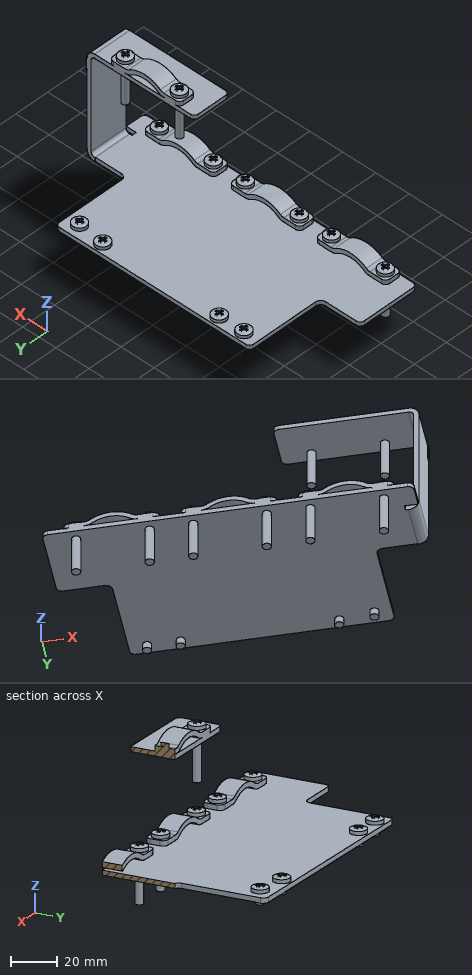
import cadquery as cq
import math

sheet = 2.5
bend_inner_radius = 2.2
bend_outer_radius = bend_inner_radius + sheet
corner_radius = 2.5
shoulder_fillet = 3.0
overlap = 0.01

base_length = 164.2
base_depth = 80.0
shoulder_y = 35.6
rear_left_x = 24.0
rear_right_x = 141.0

strap_front_y = 14.0
strap_width = 22.0
strap_rear_y = strap_front_y + strap_width
strap_rise = 59.5
strap_top_z = strap_rise + sheet
strap_end_x = 99.5
relief_width = 2.5
relief_depth = 6.0
tab_rear_y = strap_front_y - relief_width

mark_height = 0.5
mark_width = 2.5
mark_length = 7.0
mark_drop = 4.9
mark_top_z = strap_top_z - mark_drop

screw_pitch = 32.5
clip_width = 10.0
clip_length = screw_pitch + clip_width
arch_rise = 3.75
arch_foot = 11.75
arch_bend_radius = 3.75
clip_count = 3
clip_spacing = 51.8
first_clip_x = 30.5
base_clip_y = clip_width / 2
strap_clip_x = 129.6
strap_clip_y = strap_rear_y - clip_width / 2

shank_diameter = 4.0
head_diameter = 8.0
head_rim_height = 1.8
head_height = 3.0
long_screw = 25.0
short_screw = 6.0
recess_span = 4.0
recess_arm = 1.2
recess_depth = 1.0
recess_pit_size = 1.0
recess_pit_depth = 1.8
rear_screws = [(32.3, 75.0), (47.2, 75.0), (117.3, 75.0), (133.2, 73.0)]


def base_plate():
    """Stepped flat plate with a relief notch beside the strap bend."""
    flat_end_x = base_length - bend_outer_radius
    notch_x = base_length - relief_depth
    outline = [
        (0, 0),
        (base_length, 0),
        (base_length, tab_rear_y),
        (notch_x, tab_rear_y),
        (notch_x, strap_front_y),
        (flat_end_x, strap_front_y),
        (flat_end_x, shoulder_y),
        (rear_right_x, shoulder_y),
        (rear_right_x, base_depth),
        (rear_left_x, base_depth),
        (rear_left_x, shoulder_y),
        (0, shoulder_y),
    ]
    plate = cq.Workplane("XY").polyline(outline).close().extrude(sheet)
    outer_corners = [
        (0, 0),
        (base_length, 0),
        (rear_right_x, base_depth),
        (rear_left_x, base_depth),
        (0, shoulder_y),
    ]
    inner_corners = [(rear_left_x, shoulder_y), (rear_right_x, shoulder_y)]
    plate = round_corners(plate, outer_corners, corner_radius)
    return round_corners(plate, inner_corners, shoulder_fillet)


def round_corners(body, corners, radius):
    """Fillet the vertical edges standing at the given plate corners."""
    for x, y in corners:
        edge = cq.selectors.NearestToPointSelector((x, y, sheet / 2))
        body = body.edges("|Z").edges(edge).fillet(radius)
    return body


def strap():
    """C-shaped strap: lower bend, upright wall, upper bend and top flange."""
    wall_inner_x = base_length - sheet
    bend_x = base_length - bend_outer_radius
    diagonal = math.sqrt(0.5)
    outer_reach = bend_outer_radius * diagonal
    inner_reach = bend_inner_radius * diagonal
    low_z = bend_outer_radius
    high_z = strap_top_z - bend_outer_radius
    profile = (
        cq.Workplane("XZ", origin=(0, strap_rear_y, 0))
        .moveTo(bend_x - overlap, 0)
        .lineTo(bend_x, 0)
        .threePointArc((bend_x + outer_reach, low_z - outer_reach), (base_length, low_z))
        .lineTo(base_length, high_z)
        .threePointArc((bend_x + outer_reach, high_z + outer_reach), (bend_x, strap_top_z))
        .lineTo(strap_end_x, strap_top_z)
        .lineTo(strap_end_x, strap_top_z - sheet)
        .lineTo(bend_x, strap_top_z - sheet)
        .threePointArc((bend_x + inner_reach, high_z + inner_reach), (wall_inner_x, high_z))
        .lineTo(wall_inner_x, low_z)
        .threePointArc((bend_x + inner_reach, low_z - inner_reach), (bend_x, sheet))
        .lineTo(bend_x - overlap, sheet)
        .close()
    )
    body = profile.extrude(strap_width)
    return body.faces("<X").edges("|Z").fillet(corner_radius)


def strap_mark():
    """Small raised bar on the outer face of the strap, at its rear edge."""
    corner = (base_length - overlap, strap_rear_y - mark_width, mark_top_z - mark_length)
    size = (mark_height + overlap, mark_width, mark_length)
    return cq.Workplane("XY", origin=corner).box(*size, centered=False)


def clip(x, y, z):
    """Strip of constant thickness arched between two flat feet, centred at (x, y) on height z."""
    crown_to_bend = (arch_foot**2 + arch_rise**2) / (2 * arch_rise)
    crown_radius = crown_to_bend - arch_bend_radius - sheet
    crown_z = arch_rise - crown_radius
    bend_z = sheet + arch_bend_radius
    tilt = math.asin(arch_foot / crown_to_bend)

    def on_crown(radius, angle):
        return (radius * math.sin(angle), crown_z + radius * math.cos(angle))

    def on_bend(radius, angle, side):
        return (side * (arch_foot - radius * math.sin(angle)), bend_z - radius * math.cos(angle))

    outer_crown = crown_radius + sheet
    under_bend = arch_bend_radius + sheet
    half_length = clip_length / 2
    body = (
        cq.Workplane("XZ", origin=(x, y + clip_width / 2, z))
        .moveTo(-half_length, sheet)
        .lineTo(-arch_foot, sheet)
        .threePointArc(on_bend(arch_bend_radius, tilt / 2, -1), on_crown(outer_crown, -tilt))
        .threePointArc(on_crown(outer_crown, 0), on_crown(outer_crown, tilt))
        .threePointArc(on_bend(arch_bend_radius, tilt / 2, 1), (arch_foot, sheet))
        .lineTo(half_length, sheet)
        .lineTo(half_length, 0)
        .lineTo(arch_foot, 0)
        .threePointArc(on_bend(under_bend, tilt / 2, 1), on_crown(crown_radius, tilt))
        .threePointArc(on_crown(crown_radius, 0), on_crown(crown_radius, -tilt))
        .threePointArc(on_bend(under_bend, tilt / 2, -1), (-arch_foot, 0))
        .lineTo(-half_length, 0)
        .close()
        .extrude(clip_width)
    )
    return body.edges("|Z").fillet(corner_radius)


def screw(x, y, seat_z, length):
    """Pan head screw whose head rests on height seat_z."""
    head_radius = head_diameter / 2
    shank_radius = shank_diameter / 2
    dome_rise = head_height - head_rim_height
    dome_radius = (head_radius**2 + dome_rise**2) / (2 * dome_rise)
    dome_angle = math.asin(head_radius / dome_radius) / 2
    dome_middle = (
        dome_radius * math.sin(dome_angle),
        head_height - dome_radius * (1 - math.cos(dome_angle)),
    )
    body = (
        cq.Workplane("XZ")
        .moveTo(0, -length)
        .lineTo(shank_radius, -length)
        .lineTo(shank_radius, 0)
        .lineTo(head_radius, 0)
        .lineTo(head_radius, head_rim_height)
        .threePointArc(dome_middle, (0, head_height))
        .close()
        .revolve(360, (0, 0), (0, 1))
    )
    recess = (
        cq.Workplane("XY")
        .box(recess_span, recess_arm, 2 * recess_depth)
        .union(cq.Workplane("XY").box(recess_arm, recess_span, 2 * recess_depth))
        .union(cq.Workplane("XY").box(recess_pit_size, recess_pit_size, 2 * recess_pit_depth))
        .translate((0, 0, head_height))
    )
    return body.cut(recess).translate((x, y, seat_z))


def clip_with_screws(x, y, z):
    """Clip at (x, y) on height z, held by a long screw through each foot."""
    body = clip(x, y, z)
    for side in (-1, 1):
        body = body.union(screw(x + side * screw_pitch / 2, y, z + sheet, long_screw))
    return body


result = base_plate().union(strap()).union(strap_mark())

for index in range(clip_count):
    clip_x = first_clip_x + index * clip_spacing
    result = result.union(clip_with_screws(clip_x, base_clip_y, sheet))

result = result.union(clip_with_screws(strap_clip_x, strap_clip_y, strap_top_z))

for screw_x, screw_y in rear_screws:
    result = result.union(screw(screw_x, screw_y, sheet, short_screw))